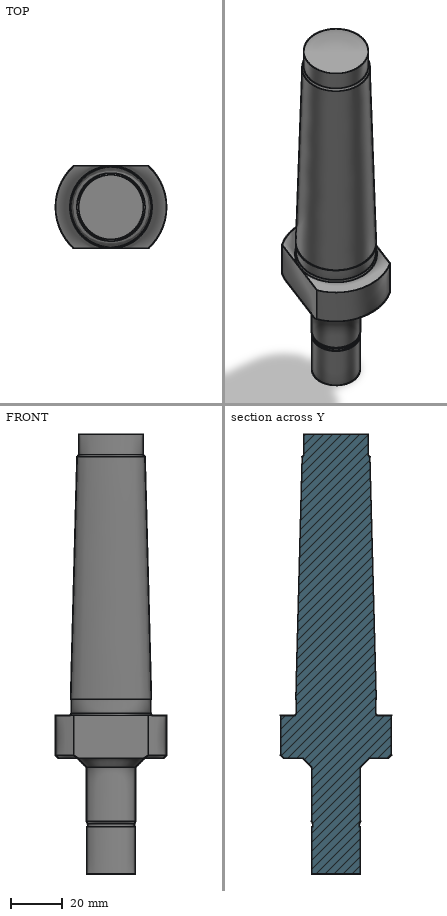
import cadquery as cq

total_length = 169.8
groove_bottom = 18.3
groove_middle = 19.4
groove_top = 20.4
cone_bottom = 41.3
flange_bottom = 44.7
flange_top = 61.3
collar_top = 67.4
taper_top = 161.0
tip_bottom = 161.8

shank_diameter = 19.0
pilot_diameter = 18.8
groove_diameter = 18.2
flange_diameter = 43.0
collar_diameter = 30.7
taper_large_diameter = 31.2
taper_small_diameter = 26.3
tip_diameter = 25.0

flange_width = 32.0
flange_chamfer = 1.2
collar_flare_width = 0.5
collar_flare_height = 0.8


def turned_body():
    """Revolve the half profile, from the shank end up to the tip, about Z."""
    shank_radius = shank_diameter / 2
    pilot_radius = pilot_diameter / 2
    groove_radius = groove_diameter / 2
    flange_radius = flange_diameter / 2
    collar_radius = collar_diameter / 2
    tip_radius = tip_diameter / 2
    cone_radius = shank_radius + flange_bottom - cone_bottom

    profile = [
        (0, 0),
        (pilot_radius, 0),
        (pilot_radius, groove_bottom),
        (groove_radius, groove_bottom),
        (groove_radius, groove_middle),
        (shank_radius, groove_top),
        (shank_radius, cone_bottom),
        (cone_radius, flange_bottom),
        (flange_radius - flange_chamfer, flange_bottom),
        (flange_radius, flange_bottom + flange_chamfer),
        (flange_radius, flange_top),
        (collar_radius + collar_flare_width, flange_top),
        (collar_radius, flange_top + collar_flare_height),
        (collar_radius, collar_top),
        (taper_large_diameter / 2, collar_top),
        (taper_small_diameter / 2, taper_top),
        (tip_radius, tip_bottom),
        (tip_radius, total_length),
        (0, total_length),
    ]
    return cq.Workplane("XZ").polyline(profile).close().revolve(360, (0, 0), (0, 1))


def flat_limits():
    """Block whose two Y faces form the parallel wrench flats of the flange."""
    return cq.Workplane("XY").box(
        flange_diameter, flange_width, total_length, centered=(True, True, False)
    )


result = turned_body().intersect(flat_limits())